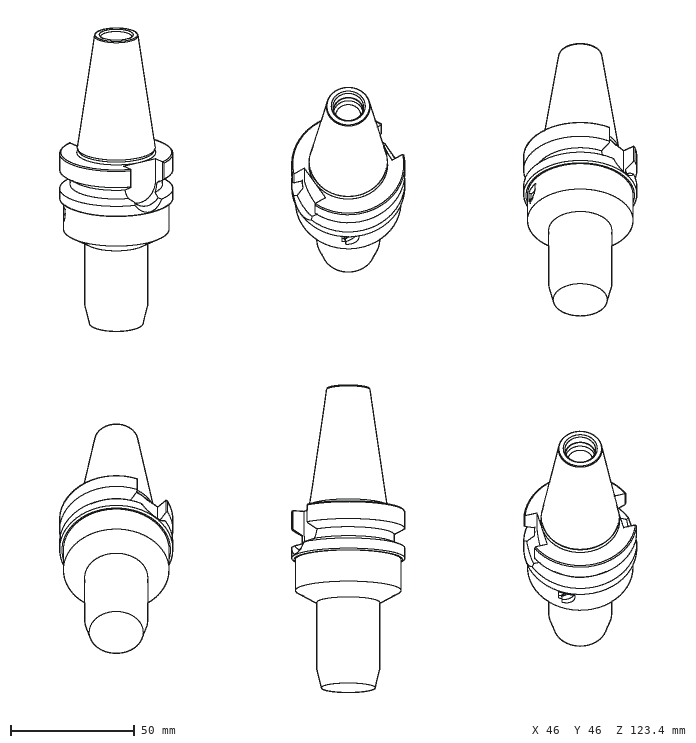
import cadquery as cq
import math

total_length = 123.4
nose_cone_top = 7.8
shank_top = 35.2
collar_bottom = 40.1
flange_bottom = 53.0
lower_rim_top = 57.6
groove_bottom = 59.4
groove_top = 63.0
upper_rim_bottom = 65.6
flange_top = 73.0
neck_waist = 74.0
taper_bottom = 75.0
taper_top = 122.9

nose_radius = 22.0 / 2
shank_radius = 25.7 / 2
collar_radius = 43.0 / 2
flange_radius = 46.0 / 2
groove_radius = 18.8
neck_radius = 15.4
neck_foot_radius = 16.0
taper_large_radius = 31.7 / 2
taper_small_radius = 17.8 / 2
end_face_radius = 8.6
rim_chamfer = 0.5
lower_chamfer_width = 1.0

mouth_radius = 13.8 / 2
bore_radius = 12.5 / 2
lower_bore_radius = 12.1 / 2
drill_radius = 10.2 / 2
mouth_depth = 0.7
bore_depth = 4.3
lower_bore_depth = 6.8
drill_depth = 8.4
drill_point_angle = 118.0

slot_half_width = 8.0
slot_bottom = 55.8
slot_floor_x = 16.0
slot_chamfer_x = 21.0
slot_arc_height = slot_bottom + slot_half_width
slot_clearance = 1.2

pocket_radius = 10.2 / 2
pocket_centre_along = 1.5
pocket_centre_drop = 1.4
pocket_ledge_drop = 4.2
pocket_corner_x = -13.6
pocket_corner_z = 50.5
pocket_axis_angle = 255.0
pocket_depth = 4.9
insert_recess = 0.6
socket_flats = 6.0
socket_depth = 0.6


def make_turned_body():
    """Taper, flange, collar and shank as one revolved outline."""
    outline = [
        (0, 0),
        (nose_radius, 0),
        (shank_radius, nose_cone_top),
        (shank_radius, shank_top),
        (collar_radius, collar_bottom),
        (collar_radius, flange_bottom),
        (flange_radius - lower_chamfer_width, flange_bottom),
        (flange_radius, flange_bottom + rim_chamfer),
        (flange_radius, lower_rim_top),
        (groove_radius, groove_bottom),
        (groove_radius, groove_top),
        (flange_radius, upper_rim_bottom),
        (flange_radius, flange_top - rim_chamfer),
        (flange_radius - rim_chamfer, flange_top),
        (neck_foot_radius, flange_top),
        (neck_radius, neck_waist),
        (taper_large_radius, taper_bottom),
        (taper_small_radius, taper_top),
        (end_face_radius, total_length),
        (0, total_length),
    ]
    return cq.Workplane("XZ").polyline(outline).close().revolve(360, (0, 0), (0, 1))


def make_bore():
    """Chamfered bore that narrows to a short drill point."""
    point_length = drill_radius / math.tan(math.radians(drill_point_angle / 2))
    outline = [
        (0, total_length),
        (mouth_radius, total_length),
        (bore_radius, total_length - mouth_depth),
        (bore_radius, total_length - bore_depth),
        (lower_bore_radius, total_length - bore_depth),
        (lower_bore_radius, total_length - lower_bore_depth),
        (drill_radius, total_length - drill_depth),
        (0, total_length - drill_depth - point_length),
    ]
    return cq.Workplane("XZ").polyline(outline).close().revolve(360, (0, 0), (0, 1))


def slot_outline(start_x):
    """Round-bottomed slot outline, open above the flange, at a given X."""
    return (
        cq.Workplane("YZ", origin=(start_x, 0, 0))
        .moveTo(-slot_half_width, flange_top + slot_clearance)
        .lineTo(-slot_half_width, slot_arc_height)
        .threePointArc((0, slot_bottom), (slot_half_width, slot_arc_height))
        .lineTo(slot_half_width, flange_top + slot_clearance)
        .close()
    )


def make_drive_slot():
    """Slot on the +X side, with a 45 degree chamfer along its outer edge."""
    outer_x = flange_radius + slot_clearance
    straight = slot_outline(slot_floor_x).extrude(outer_x - slot_floor_x)
    chamfer = slot_outline(slot_chamfer_x).extrude(outer_x - slot_chamfer_x, taper=-45)
    return straight.union(chamfer)


def pocket_plane(height):
    """Plane across the pocket axis; local X runs along the collar, local Y is up."""
    angle = math.radians(pocket_axis_angle)
    outward = cq.Vector(math.cos(angle), math.sin(angle), 0)
    corner_y = -math.sqrt(collar_radius**2 - pocket_corner_x**2)
    corner = cq.Vector(pocket_corner_x, corner_y, pocket_corner_z)
    along = cq.Vector(-math.sin(angle), math.cos(angle), 0)
    return cq.Plane(origin=corner + outward * height, xDir=along, normal=outward)


def pocket_block(bottom, top):
    """Solid with the pocket outline, between two heights on the pocket axis."""
    diagonal = pocket_radius * math.sqrt(0.5)
    return (
        cq.Workplane(pocket_plane(bottom))
        .lineTo(pocket_centre_along + pocket_radius, 0)
        .lineTo(pocket_centre_along + pocket_radius, -pocket_centre_drop)
        .threePointArc(
            (pocket_centre_along + diagonal, -pocket_centre_drop - diagonal),
            (pocket_centre_along, -pocket_centre_drop - pocket_radius),
        )
        .lineTo(pocket_centre_along, -pocket_ledge_drop)
        .lineTo(0, -pocket_ledge_drop)
        .close()
        .extrude(top - bottom)
    )


def make_insert():
    """Insert that fills the pocket, with part of a hexagon socket in its face."""
    socket_side = socket_flats / math.sqrt(3)
    socket = (
        cq.Workplane(pocket_plane(-insert_recess - socket_depth))
        .lineTo(socket_flats / 2, 0)
        .lineTo(socket_flats / 2, -pocket_centre_drop - socket_side / 2)
        .lineTo(0, -pocket_centre_drop - socket_side)
        .close()
        .extrude(socket_depth)
    )
    return pocket_block(-pocket_depth, -insert_recess).cut(socket)


holder = make_turned_body().cut(make_bore())
drive_slot = make_drive_slot()
for turn in (0, 180):
    holder = holder.cut(drive_slot.rotate((0, 0, 0), (0, 0, 1), turn))
holder = holder.cut(pocket_block(-pocket_depth, pocket_radius))

insert = make_insert()

result = cq.Compound.makeCompound([holder.val(), insert.val()])